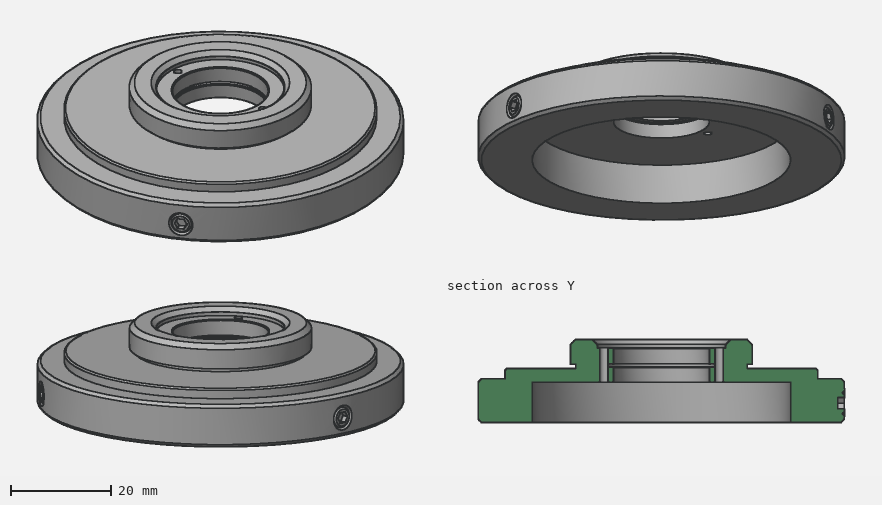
import cadquery as cq

height = 16.6
base_diameter = 73.15
base_top = 8.8
base_chamfer = 0.65
step_diameter = 62.5
step_top = 10.8
step_chamfer = 0.4
neck_diameter = 34.3
collar_bottom = 11.6
collar_diameter = 36.35
collar_chamfer = 1.0

underside_diameter = 51.6
underside_depth = 8.05
seat_mouth_diameter = 25.75
seat_diameter = 25.5
seat_depth = 1.7
seat_chamfer = 0.95
bore_diameter = 19.1
bore_chamfer = 0.2
groove_diameter = 21.2
groove_top_depth = 3.2
groove_height = 0.6

pin_hole_diameter = 1.6
pin_hole_radius = 11.5

screw_count = 3
first_screw_angle = 180.0
screw_z = 3.9
screw_diameter = 4.2
mouth_diameter = 5.05
screw_sink = 0.1
screw_chamfer = 0.4
hex_flats = 2.2
hex_depth = 1.3
hex_turn = 30.0

seat_z = height - seat_depth


def disc(diameter, bottom, top):
    """Solid disc on the Z axis."""
    return cq.Workplane("XY").workplane(offset=bottom).circle(diameter / 2).extrude(top - bottom)


def cone(plane, start_diameter, end_diameter, length):
    """Truncated cone growing along the plane's normal."""
    circle = cq.Workplane(plane).circle(start_diameter / 2)
    return circle.workplane(offset=length).circle(end_diameter / 2).loft(ruled=True)


def make_body():
    base = disc(base_diameter, 0, base_top).edges().chamfer(base_chamfer)
    step = disc(step_diameter, base_top, step_top).faces(">Z").edges().chamfer(step_chamfer)
    neck = disc(neck_diameter, step_top, collar_bottom)
    collar = disc(collar_diameter, collar_bottom, height).faces(">Z").edges().chamfer(collar_chamfer)
    return base.union(step).union(neck).union(collar)


def cut_chamfered_mouth(body, diameter, size, top):
    """Open the top edge of a central hole with a 45 degree chamfer."""
    plane = cq.Plane((0, 0, top - size))
    return body.cut(cone(plane, diameter, diameter + 2 * size, size))


def cut_seat(body):
    body = body.cut(disc(seat_diameter, seat_z, height))
    return cut_chamfered_mouth(body, seat_mouth_diameter, seat_chamfer, height)


def cut_bore(body):
    """Bore interrupted by a ring groove, with the upward edges of both parts chamfered."""
    groove_top = seat_z - groove_top_depth
    groove_bottom = groove_top - groove_height
    body = body.cut(disc(underside_diameter, 0, underside_depth))
    body = body.cut(disc(bore_diameter, 0, height))
    body = body.cut(disc(groove_diameter, groove_bottom, groove_top))
    for edge_z in (seat_z, groove_bottom):
        body = cut_chamfered_mouth(body, bore_diameter, bore_chamfer, edge_z)
    return body


def cut_pin_holes(body):
    for x in (-pin_hole_radius, pin_hole_radius):
        body = body.cut(disc(pin_hole_diameter, 0, height).translate((x, 0, 0)))
    return body


def add_set_screw(body, angle):
    """Countersunk socket screw, sunk below the rim and pointing outward at the given angle."""

    def local_plane(radius):
        return cq.Plane((radius, 0, screw_z), xDir=(0, 1, 0), normal=(1, 0, 0))

    def turned(shape):
        return shape.rotate((0, 0, 0), (0, 0, 1), angle)

    rim = base_diameter / 2
    face = rim - screw_sink
    shoulder = face - screw_chamfer

    mouth = cone(local_plane(shoulder), screw_diameter, mouth_diameter, rim - shoulder)
    tip = cone(local_plane(shoulder), screw_diameter, screw_diameter - 2 * screw_chamfer, screw_chamfer)
    hexagon = cq.Workplane(local_plane(face)).polygon(6, hex_flats, circumscribed=True)
    socket = hexagon.extrude(-hex_depth)
    socket = socket.rotate((0, 0, screw_z), (1, 0, screw_z), hex_turn)

    body = body.cut(turned(mouth))
    return body.union(turned(tip)).cut(turned(socket))


result = make_body()
result = cut_seat(result)
result = cut_bore(result)
result = cut_pin_holes(result)
for index in range(screw_count):
    result = add_set_screw(result, first_screw_angle + index * 360 / screw_count)